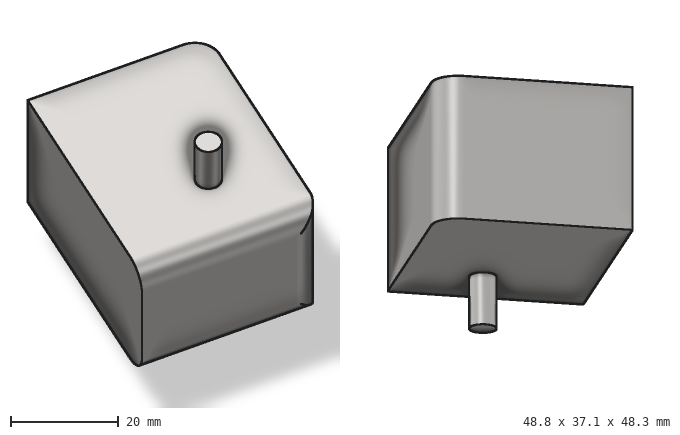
import cadquery as cq

body_length = 48.79
body_depth = 37.11
body_height = 27.94
edge_radius = 5.08

pin_diameter = 5.08
pin_projection = 10.16
pin_x = 32.385
pin_y = 21.59

pin_length = body_height + 2 * pin_projection


def make_body():
    """Block with its front left corner at the origin, rounded at the back and right."""
    plan = (
        cq.Workplane("XY")
        .box(body_length, body_depth, body_height, centered=False)
        .edges("|Z and >Y")
        .fillet(edge_radius)
    )
    side = (
        cq.Workplane("XY")
        .box(body_length, body_depth, body_height, centered=False)
        .edges("|Y and >X")
        .fillet(edge_radius)
    )
    return plan.intersect(side)


def make_pin():
    """Round pin running vertically through the body and out of both faces."""
    return (
        cq.Workplane("XY", origin=(pin_x, pin_y, -pin_projection))
        .circle(pin_diameter / 2)
        .extrude(pin_length)
    )


result = make_body().union(make_pin())